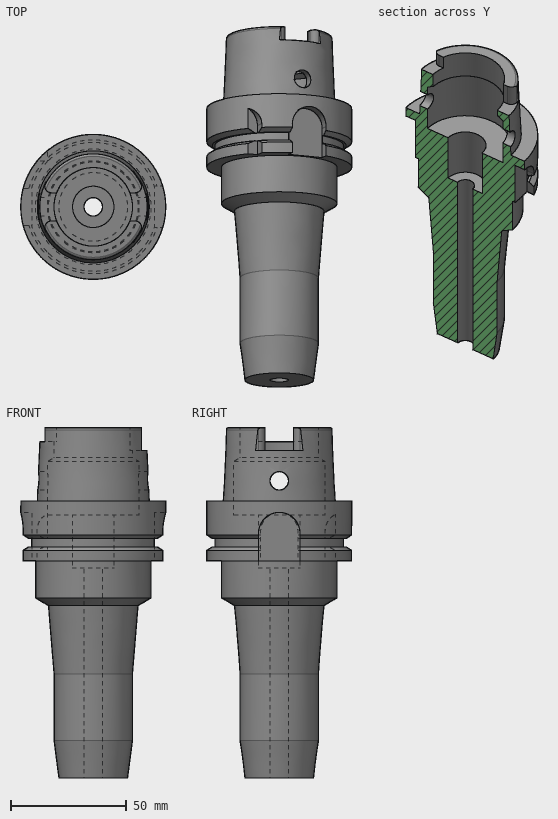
import cadquery as cq
import math

total_height = 152.0
nose_top = 16.3
barrel_top = 45.1
cone_top = 74.8
neck_bottom = 78.1
flange_bottom = 94.2
flange_top = 120.2

nose_radius = 14.9
barrel_radius = 17.0
cone_top_radius = 19.5
neck_radius = 25.1
flange_radius = 31.5
taper_base_radius = 24.3
taper_tip_radius = 23.0
tip_rounding = 1.0

groove_radius = 28.0
groove_chamfer_radius = 29.0
groove_low_edge = 98.8
groove_bottom = 100.3
groove_top = 103.8
groove_high_edge = 105.5

bore_radius = 17.0
lip_depth = 13.0
chamber_radius = 19.9
chamber_angle = 60.0
chamber_floor = 114.0
seat_radius = 9.0
seat_floor = 91.2
through_radius = 4.0

cross_hole_radius = 4.0
cross_hole_height = 128.9

notch_half_width = 6.1
notch_rounding = 2.9
tang_reach = 21.0
notch_depth_left = 6.1
notch_depth_right = 9.9

keyway_floor = 26.5
keyway_top = 115.2
left_keyway_radius = 8.0
right_keyway_radius = 9.0
orientation_offset = 19.9

clearance = 7.6


def revolve_profile(profile):
    return profile.close().revolve(360, (0, 0, 0), (0, 1, 0))


def make_body():
    corner = tip_rounding * math.sqrt(0.5)
    profile = (
        cq.Workplane("XZ")
        .lineTo(nose_radius, 0)
        .lineTo(barrel_radius, nose_top)
        .lineTo(barrel_radius, barrel_top)
        .lineTo(cone_top_radius, cone_top)
        .lineTo(neck_radius, neck_bottom)
        .lineTo(neck_radius, flange_bottom)
        .lineTo(flange_radius, flange_bottom)
        .lineTo(flange_radius, groove_low_edge)
        .lineTo(groove_chamfer_radius, groove_bottom)
        .lineTo(groove_radius, groove_bottom)
        .lineTo(groove_radius, groove_top)
        .lineTo(groove_chamfer_radius, groove_top)
        .lineTo(flange_radius, groove_high_edge)
        .lineTo(flange_radius, flange_top)
        .lineTo(taper_base_radius, flange_top)
        .lineTo(taper_tip_radius, total_height - tip_rounding)
        .threePointArc(
            (taper_tip_radius - tip_rounding + corner, total_height - tip_rounding + corner),
            (taper_tip_radius - tip_rounding, total_height),
        )
        .lineTo(0, total_height)
    )
    return revolve_profile(profile)


def make_bore():
    lip_height = total_height - lip_depth
    slope_height = (chamber_radius - bore_radius) / math.tan(math.radians(chamber_angle))
    profile = (
        cq.Workplane("XZ")
        .lineTo(through_radius, 0)
        .lineTo(through_radius, seat_floor)
        .lineTo(seat_radius, seat_floor)
        .lineTo(seat_radius, chamber_floor)
        .lineTo(chamber_radius, chamber_floor)
        .lineTo(chamber_radius, lip_height - slope_height)
        .lineTo(bore_radius, lip_height)
        .lineTo(bore_radius, total_height)
        .lineTo(0, total_height)
    )
    return revolve_profile(profile)


def make_cross_hole():
    return (
        cq.Workplane("YZ")
        .center(0, cross_hole_height)
        .circle(cross_hole_radius)
        .extrude(flange_radius, both=True)
    )


def make_drive_notch(side, depth):
    """Notch that rounds over the outer corners of the two tangs; side is -1 or +1 along X."""
    outer = flange_radius + clearance
    round_start = tang_reach - notch_rounding
    round_end = notch_half_width + notch_rounding
    corner = notch_rounding * math.sqrt(0.5)
    arc_x = side * (round_start + corner)
    arc_y = round_end - corner
    flare = round_end + clearance
    return (
        cq.Workplane("XY", origin=(0, 0, total_height - depth))
        .moveTo(0, -notch_half_width)
        .lineTo(side * round_start, -notch_half_width)
        .threePointArc((arc_x, -arc_y), (side * tang_reach, -round_end))
        .lineTo(side * tang_reach, -flare)
        .lineTo(side * outer, -flare)
        .lineTo(side * outer, flare)
        .lineTo(side * tang_reach, flare)
        .lineTo(side * tang_reach, round_end)
        .threePointArc((arc_x, arc_y), (side * round_start, notch_half_width))
        .lineTo(0, notch_half_width)
        .close()
        .extrude(depth)
    )


def make_keyway(side, floor, radius, y_center=0.0):
    """Round-topped slot open at the flange underside, with a flat floor facing along X."""
    arc_center = keyway_top - radius
    return (
        cq.Workplane("YZ", origin=(side * floor, 0, 0))
        .moveTo(y_center - radius, flange_bottom)
        .lineTo(y_center - radius, arc_center)
        .threePointArc((y_center, keyway_top), (y_center + radius, arc_center))
        .lineTo(y_center + radius, flange_bottom)
        .close()
        .extrude(side * (flange_radius + clearance - floor))
    )


result = (
    make_body()
    .cut(make_bore())
    .cut(make_cross_hole())
    .cut(make_drive_notch(-1, notch_depth_left))
    .cut(make_drive_notch(1, notch_depth_right))
    .cut(make_keyway(-1, keyway_floor, left_keyway_radius))
    .cut(make_keyway(1, keyway_floor, right_keyway_radius))
    .cut(make_keyway(-1, orientation_offset, left_keyway_radius, orientation_offset + left_keyway_radius))
)